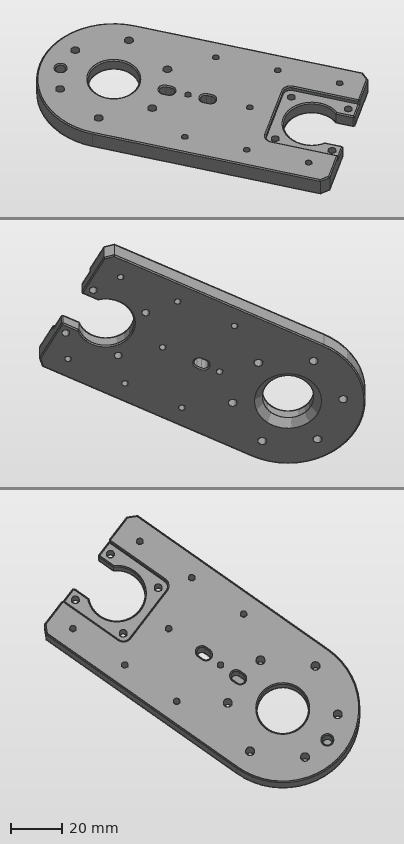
import cadquery as cq
import math

length = 125.0
width = 60.0
thickness = 8.0
end_radius = width / 2
square_end_x = length - end_radius
corner_chamfer = 3.0
edge_chamfer = 0.5

bore_diameter = 20.0
countersink_depth = 3.0
ring_radius = 21.5
ring_hole_diameter = 3.4
ring_hole_count = 6

pin_width = 4.0
slot_length = 6.0
blind_depth = 6.0
through_slot_x = 38.0

tapped_diameter = 2.5
tapped_pitch = 25.0
side_row_x = 35.0
side_row_y = 22.0
side_row_count = 3
centre_row_x = 30.0
centre_row_count = 2

motor_x = 80.0
pocket_half_width = 15.0
pocket_depth = 2.0
pocket_corner_radius = 3.0
boss_diameter = 22.0
mouth_width = 16.0
motor_hole_offset = 11.5
motor_hole_diameter = 3.0

floor_z = thickness - pocket_depth


def make_plate():
    """Flat bar with one full-round end and two clipped corners."""
    clip_x = square_end_x - corner_chamfer
    clip_y = end_radius - corner_chamfer
    return (
        cq.Workplane("XY")
        .moveTo(0, end_radius)
        .threePointArc((-end_radius, 0), (0, -end_radius))
        .lineTo(clip_x, -end_radius)
        .lineTo(square_end_x, -clip_y)
        .lineTo(square_end_x, clip_y)
        .lineTo(clip_x, end_radius)
        .close()
        .extrude(thickness)
    )


def make_pocket():
    """Motor pocket, rounded at its inner corners and open at the square end."""
    pocket_length = square_end_x - motor_x + pocket_half_width
    return (
        cq.Workplane("XY", origin=(square_end_x - pocket_length / 2, 0, floor_z))
        .rect(pocket_length, 2 * pocket_half_width)
        .extrude(pocket_depth)
        .edges("|Z and <X")
        .fillet(pocket_corner_radius)
    )


def make_boss_opening():
    """Round motor opening with a straight mouth out through the square end."""
    mouth_length = square_end_x - motor_x
    mouth = (
        cq.Workplane("XY")
        .center(motor_x + mouth_length / 2, 0)
        .rect(mouth_length, mouth_width)
        .extrude(thickness)
    )
    return through_holes([(motor_x, 0)], boss_diameter).union(mouth)


def through_holes(points, diameter):
    """Cylinders through the full thickness at the given points."""
    return cq.Workplane("XY").pushPoints(points).circle(diameter / 2).extrude(thickness)


def countersink_cut():
    """45 degree cone that opens the bore towards the underside."""
    bore_radius = bore_diameter / 2
    return cq.Workplane("XY").add(
        cq.Solid.makeCone(bore_radius + countersink_depth, bore_radius, countersink_depth)
    )


def slot_cut(x, depth):
    """Slot on the centreline, cut down from the top face."""
    return (
        cq.Workplane("XY", origin=(x, 0, thickness - depth))
        .slot2D(slot_length, pin_width)
        .extrude(depth)
    )


def pin_hole_cut():
    """Blind locating hole between the bore and the rounded end."""
    return (
        cq.Workplane("XY", origin=(-ring_radius, 0, thickness - blind_depth))
        .circle(pin_width / 2)
        .extrude(blind_depth)
    )


def chamfer_edges(body):
    """Break the rims of both faces, the free edges of the pocket floor and the notch ends."""
    margin = edge_chamfer / 2
    pocket_floor_rim = cq.selectors.BoxSelector(
        (motor_x - boss_diameter / 2, margin - pocket_half_width, floor_z - margin),
        (square_end_x + margin, pocket_half_width - margin, floor_z + margin),
    )
    notch_ends = cq.selectors.BoxSelector(
        (square_end_x - margin, -pocket_half_width - margin, margin),
        (square_end_x + margin, pocket_half_width + margin, thickness - margin),
    )
    face_rims = body.faces("<Z or >Z").edges()
    floor_rim = body.edges(pocket_floor_rim)
    end_corners = body.edges("|Z").edges(notch_ends)
    return face_rims.add(floor_rim).add(end_corners).chamfer(edge_chamfer)


ring_points = [
    (
        ring_radius * math.cos(2 * math.pi * (i + 0.5) / ring_hole_count),
        ring_radius * math.sin(2 * math.pi * (i + 0.5) / ring_hole_count),
    )
    for i in range(ring_hole_count)
]
tapped_points = [
    (side_row_x + i * tapped_pitch, side * side_row_y)
    for i in range(side_row_count)
    for side in (-1, 1)
]
tapped_points += [(centre_row_x + i * tapped_pitch, 0) for i in range(centre_row_count)]
motor_points = [
    (motor_x + i * motor_hole_offset, j * motor_hole_offset)
    for i in (-1, 1)
    for j in (-1, 1)
]

plate = (
    make_plate()
    .cut(make_pocket())
    .cut(make_boss_opening())
    .cut(through_holes([(0, 0)], bore_diameter))
    .cut(pin_hole_cut())
    .cut(slot_cut(ring_radius, blind_depth))
    .cut(slot_cut(through_slot_x, thickness))
)
plate = chamfer_edges(plate)

result = (
    plate.cut(countersink_cut())
    .cut(through_holes(ring_points, ring_hole_diameter))
    .cut(through_holes(tapped_points, tapped_diameter))
    .cut(through_holes(motor_points, motor_hole_diameter))
)